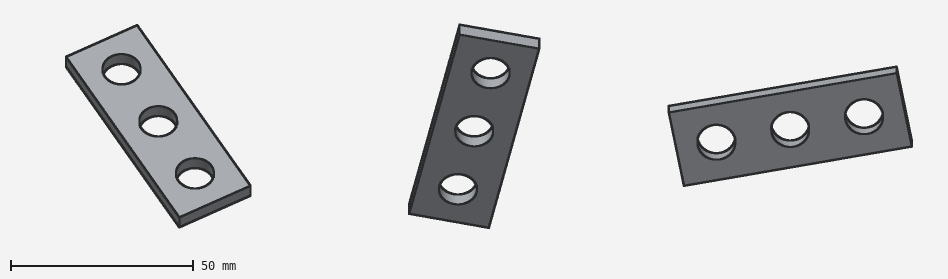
import cadquery as cq

length = 63.5
width = 22.35
thickness = 4.5

hole_diameter = 10.4
hole_pitch = 20.6
hole_count = 3

bar = cq.Workplane("XY").box(length, width, thickness)

result = (
    bar.faces(">Z")
    .workplane()
    .rarray(hole_pitch, width, hole_count, 1)
    .hole(hole_diameter)
)